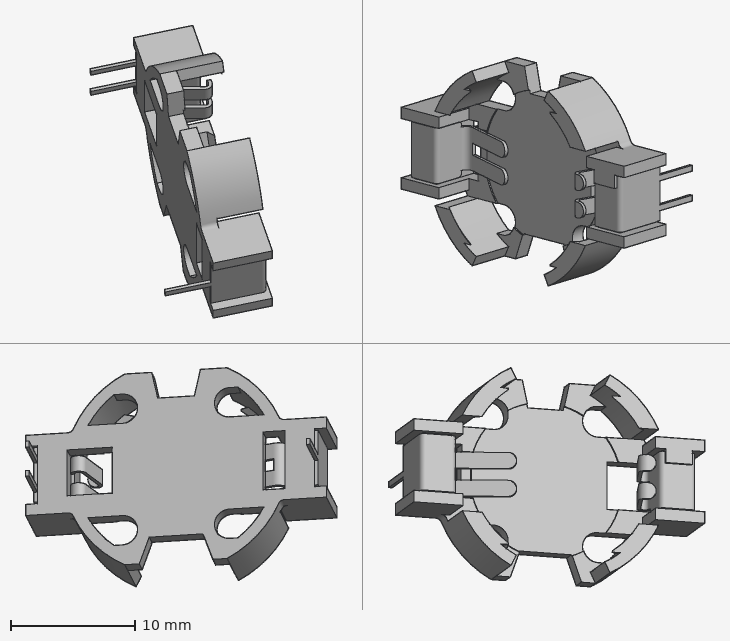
import cadquery as cq
import math


half_length = 12.3
half_height = 8.2
outer_radius = 9.2
plate_thickness = 1.4
recess_floor = 1.25
recess_radius = 6.45
junction_radius = 0.5

wall_height = 5.25
wall_thickness = 0.98
wall_inner_radius = outer_radius - wall_thickness
wall_low = 3.95
lug_radius = 7.72

opening_radius = 1.25
opening_center_x = 4.4
opening_center_z = wall_low + opening_radius
opening_top = wall_low + 2 * opening_radius

notch_depth_z = 5.95
upper_notch_half_widths = (1.5, 2.0)
lower_notch_half_widths = (2.2, 3.0)

arm_half_height = 3.45
arm_depth = 4.95
arm_inner_x = 8.15
channel_half_height = 2.48
web_inner_x = 8.9
web_outer_x = 11.35
web_depth = 4.38

left_window_inner_x = 5.22
left_window_half_height = 1.97
right_window_inner_x = 7.1
right_window_half_height = channel_half_height
spring_relief_inner_x = 6.27
spring_relief_half_height = 1.92
spring_relief_floor = 1.1

sheet = 0.3
clip_half_width = 2.34
clip_bend = 0.1
tongue_width = 1.33
tongue_gap = 0.98
tongue_center_z = (tongue_gap + tongue_width) / 2
tongues_half_width = tongue_gap / 2 + tongue_width
pin_width = 0.5
pin_length = 3.81
pin_pitch = 2.5
clip_top = web_depth + sheet

lip_edge_z = 1.35

side_bend_radius = 0.65
side_slope = 75.0
side_fold_radius = 0.6
side_front_x = 6.85
side_shoulder_radius = 0.5

base_bend_radius = 0.84
base_slope = 17.0
base_bend_center_y = 1.75
base_tip_x = 2.83
base_leg_corner = 0.37


def block(x_range, y_range, z_range):
    """Axis-aligned box given by its limits."""
    sizes = [high - low for low, high in (x_range, y_range, z_range)]
    corner = (x_range[0], y_range[0], z_range[0])
    return cq.Workplane("XY").box(*sizes, centered=False).translate(corner)


def disc(radius, depth):
    """Cylinder about the Y axis, from Y = 0 to the given depth."""
    return cq.Workplane("XZ").circle(radius).extrude(-depth)


def mirrored_four(shape):
    """The shape together with its images across the X and Z centre planes."""
    pair = shape.union(shape.mirror("YZ"))
    return pair.union(pair.mirror("XY"))


def polar(center, radius, degrees):
    """Point on a circle in the XY plane."""
    angle = math.radians(degrees)
    return (center[0] + radius * math.cos(angle), center[1] + radius * math.sin(angle))



def plate():
    """Round plate with flats above and below."""
    flats = block((-half_length, half_length), (0, plate_thickness), (-half_height, half_height))
    return disc(outer_radius, plate_thickness).intersect(flats)


def arm_junction():
    """Concave corner filler between the round outline and the +X, +Z arm edge."""
    center_z = arm_half_height + junction_radius
    center_distance = outer_radius + junction_radius
    center_x = math.sqrt(center_distance**2 - center_z**2)
    touch_scale = outer_radius / center_distance
    touch = (center_x * touch_scale, center_z * touch_scale)
    corner = (touch[0], arm_half_height)
    straight_end = (center_x, arm_half_height)
    round_center = (center_x, center_z)
    filler = (
        cq.Workplane("XZ").polyline([touch, corner, straight_end, round_center])
        .close().extrude(-plate_thickness)
    )
    round_cut = (
        cq.Workplane("XZ").center(*round_center).circle(junction_radius).extrude(-plate_thickness)
    )
    return filler.cut(round_cut)


def wall():
    """Curved wall in the +X, +Z quarter, with its snap lug."""
    end_x = math.sqrt(outer_radius**2 - half_height**2)
    reach = 2.0
    low_end = (reach * outer_radius, wall_low)
    inner_low = (wall_low * end_x / half_height, wall_low)
    radial_end = (reach * end_x, reach * half_height)
    sector = cq.Workplane("XZ").polyline([inner_low, low_end, radial_end]).close().extrude(-wall_height)
    ring = disc(outer_radius, wall_height).cut(disc(wall_inner_radius, wall_height))
    lug_ring = disc(outer_radius, wall_height).cut(disc(lug_radius, wall_height))
    lug_band = block((opening_center_x, outer_radius), (0, wall_height), (wall_low, opening_top))
    return ring.intersect(sector).union(lug_ring.intersect(lug_band))


def opening():
    """Round-ended opening that runs along the wall and ends at the lug's conical underside."""
    round_end = (
        cq.Workplane("XZ").center(opening_center_x, opening_center_z)
        .circle(opening_radius).extrude(-wall_height)
    )
    straight = block((opening_center_x, outer_radius), (0, wall_height), (wall_low, opening_top))
    underside_height = wall_inner_radius - lug_radius
    cone_start = wall_height - underside_height
    cone = cq.Solid.makeCone(
        wall_inner_radius, lug_radius, underside_height,
        pnt=cq.Vector(0, cone_start, 0), dir=cq.Vector(0, 1, 0),
    )
    envelope = disc(wall_inner_radius, cone_start).union(cq.Workplane(cone))
    return round_end.union(straight).intersect(envelope)


def notch(half_widths, side):
    """Tapered notch through the flat on the given Z side (+1 or -1)."""
    floor, mouth = half_widths
    outline = [
        (-floor, side * notch_depth_z),
        (floor, side * notch_depth_z),
        (mouth, side * half_height),
        (-mouth, side * half_height),
    ]
    return cq.Workplane("XZ").polyline(outline).close().extrude(-plate_thickness)


def arm():
    """+X arm: two side walls joined by the web that the contact clips over."""
    foot = block((0, web_inner_x), (0, plate_thickness), (-arm_half_height, arm_half_height))
    side = block((arm_inner_x, half_length), (0, arm_depth), (channel_half_height, arm_half_height))
    web = block(
        (web_inner_x, web_outer_x), (0, web_depth), (-channel_half_height, channel_half_height)
    ).edges("|Z and >Y").fillet(clip_bend)
    return foot.union(side).union(side.mirror("XY")).union(web)


def retaining_lip():
    """Lip on the left arm, reaching over one edge of the contact."""
    x_range = (-web_outer_x + clip_bend, -web_inner_x - clip_bend)
    cover = block(x_range, (clip_top, arm_depth), (lip_edge_z, channel_half_height))
    side = block(x_range, (web_depth, arm_depth), (clip_half_width, channel_half_height))
    return cover.union(side)


def make_housing():
    body = plate().union(mirrored_four(arm_junction())).union(mirrored_four(wall()))
    body = body.union(arm()).union(arm().mirror("YZ")).union(retaining_lip())
    body = body.cut(disc(recess_radius, wall_height).translate((0, recess_floor, 0)))
    body = body.cut(mirrored_four(opening()))
    body = body.cut(notch(upper_notch_half_widths, 1)).cut(notch(lower_notch_half_widths, -1))
    left_window = block(
        (-web_inner_x, -left_window_inner_x), (0, plate_thickness),
        (-left_window_half_height, left_window_half_height),
    )
    right_window = block(
        (right_window_inner_x, web_inner_x), (0, plate_thickness),
        (-right_window_half_height, right_window_half_height),
    )
    spring_relief = block(
        (spring_relief_inner_x, right_window_inner_x), (spring_relief_floor, plate_thickness),
        (-spring_relief_half_height, spring_relief_half_height),
    )
    return body.cut(left_window).cut(right_window).cut(spring_relief)



def clip(leg_end_y, pin_positions):
    """Sheet wrapped over the web, with pins on its outer leg."""
    outer_x = web_outer_x + sheet
    inner_x = web_inner_x - sheet
    z_range = (-clip_half_width, clip_half_width)
    wrap = block((inner_x, outer_x), (0, clip_top), z_range).edges("|Z and >Y").fillet(clip_bend + sheet)
    core = block((web_inner_x, web_outer_x), (0, web_depth), z_range).edges("|Z and >Y").fillet(clip_bend)
    below_leg = block((inner_x, web_inner_x), (0, leg_end_y), z_range)
    body = wrap.cut(core).cut(below_leg)
    for z in pin_positions:
        pin = block((web_outer_x, outer_x), (-pin_length, 0), (z - pin_width / 2, z + pin_width / 2))
        body = body.union(pin)
    return body


def round_leg_corners(body, leg_end_y):
    """Round the two lower corners of a clip's inner leg."""
    corners = cq.selectors.BoxSelector(
        (web_inner_x - 2 * sheet, leg_end_y - sheet, -half_height),
        (web_inner_x + sheet, leg_end_y + sheet, half_height),
    )
    return body.edges("|X").edges(corners).fillet(base_leg_corner)


def shoulder(spring_start_y):
    """Leg piece above the springs, flaring through concave rounds to the full leg."""
    leg_end_y = spring_start_y + side_shoulder_radius
    flare_half_width = tongues_half_width + side_shoulder_radius
    piece = block(
        (web_inner_x - sheet, web_inner_x), (spring_start_y, leg_end_y),
        (-flare_half_width, flare_half_width),
    )
    for z in (-flare_half_width, flare_half_width):
        round_cut = (
            cq.Workplane("YZ").center(spring_start_y, z)
            .circle(side_shoulder_radius).extrude(web_inner_x)
        )
        piece = piece.cut(round_cut)
    return piece


def spread(outline, width, center_z=0.0):
    """Extrude a closed XY outline to a width centred on the given Z."""
    return outline.extrude(width).translate((0, 0, center_z - width / 2))


def rounded_tip(start, direction, normal, center_z):
    """Half-round end of a tongue, growing from start along direction."""
    plane = cq.Plane(origin=(*start, center_z), xDir=(*direction, 0), normal=(*normal, 0))
    radius = tongue_width / 2
    return (
        cq.Workplane(plane).moveTo(0, -radius)
        .threePointArc((radius, 0), (0, radius)).close().extrude(sheet)
    )


def make_left_contact():
    """Two springs that press on the rim of the cell and fold back outward."""
    slope_angle = -90 - side_slope
    fold_center = (side_front_x + side_fold_radius, wall_height - side_fold_radius)
    bend_center_x = web_inner_x - side_bend_radius
    run = (
        polar((bend_center_x, 0), side_bend_radius, slope_angle)[0]
        - polar(fold_center, side_fold_radius, slope_angle)[0]
    )
    slope_rise = run * math.tan(math.radians(side_slope))
    slope_top_y = polar(fold_center, side_fold_radius, slope_angle)[1]
    bend_center_y = slope_top_y - slope_rise - polar((0, 0), side_bend_radius, slope_angle)[1]
    bend_center = (bend_center_x, bend_center_y)
    bend_inside = side_bend_radius - sheet
    fold_inside = side_fold_radius - sheet
    fold_middle = (90 + slope_angle + 360) / 2

    outline = (
        cq.Workplane("XY").moveTo(*polar(bend_center, side_bend_radius, 0))
        .threePointArc(
            polar(bend_center, side_bend_radius, slope_angle / 2),
            polar(bend_center, side_bend_radius, slope_angle),
        )
        .lineTo(*polar(fold_center, side_fold_radius, slope_angle))
        .threePointArc(
            polar(fold_center, side_fold_radius, fold_middle),
            polar(fold_center, side_fold_radius, 90),
        )
        .lineTo(*polar(fold_center, fold_inside, 90))
        .threePointArc(
            polar(fold_center, fold_inside, fold_middle),
            polar(fold_center, fold_inside, slope_angle),
        )
        .lineTo(*polar(bend_center, bend_inside, slope_angle))
        .threePointArc(
            polar(bend_center, bend_inside, slope_angle / 2),
            polar(bend_center, bend_inside, 0),
        )
        .close()
    )
    body = clip(bend_center_y + side_shoulder_radius, (-pin_pitch / 2, pin_pitch / 2))
    body = body.union(shoulder(bend_center_y))
    tip = rounded_tip(polar(fold_center, fold_inside, 90), (1, 0), (0, 1), tongue_center_z)
    tongue = spread(outline, tongue_width, tongue_center_z).union(tip)
    return body.union(tongue).union(tongue.mirror("XY")).mirror("YZ")


def make_right_contact():
    """Wide bend that splits into two long springs rising under the cell."""
    slope_angle = -90 - base_slope
    center = (web_inner_x - base_bend_radius, base_bend_center_y)
    inside = base_bend_radius - sheet
    bend = (
        cq.Workplane("XY").moveTo(*polar(center, base_bend_radius, 0))
        .threePointArc(
            polar(center, base_bend_radius, slope_angle / 2),
            polar(center, base_bend_radius, slope_angle),
        )
        .lineTo(*polar(center, inside, slope_angle))
        .threePointArc(polar(center, inside, slope_angle / 2), polar(center, inside, 0))
        .close()
    )
    body = round_leg_corners(clip(base_bend_center_y, (0,)), base_bend_center_y)
    body = body.union(spread(bend, 2 * tongues_half_width))

    direction = polar((0, 0), 1, 180 - base_slope)
    normal = polar((0, 0), 1, 90 - base_slope)
    under_start = polar(center, base_bend_radius, slope_angle)
    top_start = polar(center, inside, slope_angle)
    reach = (under_start[0] - base_tip_x) / math.cos(math.radians(base_slope))
    straight = reach - tongue_width / 2
    under_end = polar(under_start, straight, 180 - base_slope)
    top_end = polar(top_start, straight, 180 - base_slope)
    outline = cq.Workplane("XY").polyline([under_start, under_end, top_end, top_start]).close()
    tip = rounded_tip(under_end, direction, normal, tongue_center_z)
    tongue = spread(outline, tongue_width, tongue_center_z).union(tip)
    return body.union(tongue).union(tongue.mirror("XY"))


housing = make_housing()
left_contact = make_left_contact()
right_contact = make_right_contact()

bodies = [housing, left_contact, right_contact]
result = cq.Compound.makeCompound([body.solids().val() for body in bodies])